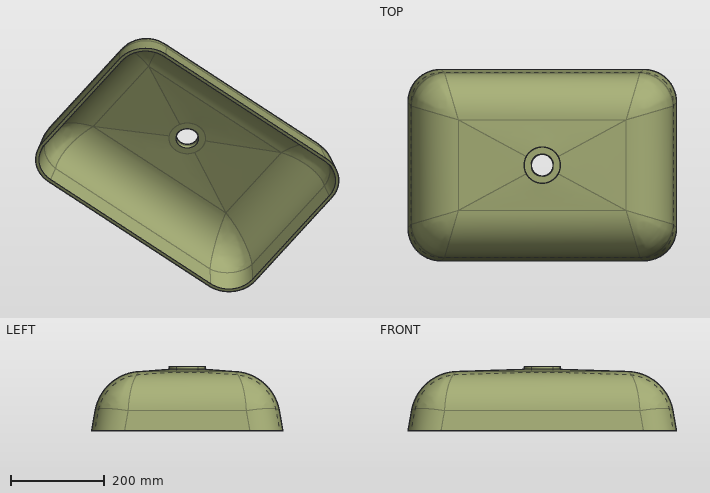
import cadquery as cq
import math

RIM_LENGTH = 574.8
RIM_WIDTH = 409.8
TOTAL_HEIGHT = 138.0

DRAFT_ANGLE = 10.0
WALL_THICKNESS = 7.0
FLAT_HEIGHT = 127.5
FLOOR_FILLET = 102.0
CORNER_FILLET = 72.0

RING_TOP_DIAMETER = 77.0
RING_HEIGHT = 6.0
RING_DRAFT = 5.0

DRAIN_DIAMETER = 46.0
DRAIN_FLARE = 10.0

DRAFT = math.radians(DRAFT_ANGLE)
RING_BASE_HEIGHT = TOTAL_HEIGHT - RING_HEIGHT
RING_BASE_RADIUS = RING_TOP_DIAMETER / 2 + RING_HEIGHT * math.tan(math.radians(RING_DRAFT))

FLAT_MARGIN = FLAT_HEIGHT * math.tan(DRAFT) + FLOOR_FILLET * math.tan((math.pi / 2 - DRAFT) / 2)
FLAT_HALF_LENGTH = RIM_LENGTH / 2 - FLAT_MARGIN
FLAT_HALF_WIDTH = RIM_WIDTH / 2 - FLAT_MARGIN


def rounding_core():
    """Sharp-cornered block lying one corner radius inside the outer skin.

    It reaches below the rim so that its rounded-off bottom can be trimmed away.
    """
    depth_below_rim = 2 * CORNER_FILLET
    growth = depth_below_rim * math.tan(DRAFT) - CORNER_FILLET / math.cos(DRAFT)
    return (
        cq.Workplane("XY", origin=(0, 0, -depth_below_rim))
        .rect(RIM_LENGTH + 2 * growth, RIM_WIDTH + 2 * growth)
        .extrude(depth_below_rim + FLAT_HEIGHT - CORNER_FILLET, taper=DRAFT_ANGLE)
        .faces(">Z")
        .edges()
        .fillet(FLOOR_FILLET - CORNER_FILLET)
    )


def rounded_block(inset):
    """Drafted block with a flat top, its surfaces lying inset below the outer skin.

    Growing the core outward rounds the corners, which fade out at the corners of the flat.
    """
    core = rounding_core()
    grown = core.union(core.shell(CORNER_FILLET - inset))
    above_rim = cq.Workplane("XY").rect(RIM_LENGTH, RIM_WIDTH).extrude(TOTAL_HEIGHT)
    return grown.intersect(above_rim)


def floor_slope(inset):
    """Four ruled facets rising from the rectangular flat to the ring base circle, lowered by inset."""
    base_height = FLAT_HEIGHT - inset
    crown_height = RING_BASE_HEIGHT - inset
    corners = [
        cq.Vector(FLAT_HALF_LENGTH, -FLAT_HALF_WIDTH, base_height),
        cq.Vector(FLAT_HALF_LENGTH, FLAT_HALF_WIDTH, base_height),
        cq.Vector(-FLAT_HALF_LENGTH, FLAT_HALF_WIDTH, base_height),
        cq.Vector(-FLAT_HALF_LENGTH, -FLAT_HALF_WIDTH, base_height),
    ]
    directions = [math.atan2(corner.y, corner.x) for corner in corners]

    def crown_point(direction):
        return cq.Vector(
            RING_BASE_RADIUS * math.cos(direction),
            RING_BASE_RADIUS * math.sin(direction),
            crown_height,
        )

    sides = []
    arcs = []
    for index, corner in enumerate(corners):
        following = (index + 1) % len(corners)
        start = directions[index]
        sweep = (directions[following] - start) % (2 * math.pi)
        sides.append(cq.Edge.makeLine(corner, corners[following]))
        arcs.append(
            cq.Edge.makeThreePointArc(
                crown_point(start), crown_point(start + sweep / 2), crown_point(start + sweep)
            )
        )
    faces = [cq.Face.makeRuledSurface(side, arc) for side, arc in zip(sides, arcs)]
    faces.append(cq.Face.makeFromWires(cq.Wire.assembleEdges(sides)))
    faces.append(cq.Face.makeFromWires(cq.Wire.assembleEdges(arcs)))
    return cq.Workplane(cq.Solid.makeSolid(cq.Shell.makeShell(faces)))


def basin_body(inset):
    """Solid bounded by the basin surface lying inset below the outer skin."""
    return rounded_block(inset).union(floor_slope(inset))


def hollow_basin():
    """Basin shell of even wall thickness, open at the rim."""
    return basin_body(0).cut(basin_body(WALL_THICKNESS))


def ring_base_plane():
    """Workplane at the foot of the drain ring."""
    return cq.Workplane("XY", origin=(0, 0, RING_BASE_HEIGHT))


def drain_ring():
    """Raised disc for the drain ring, before the hole is cut."""
    return ring_base_plane().circle(RING_BASE_RADIUS).extrude(RING_HEIGHT, taper=RING_DRAFT)


def drain_hole():
    """Cutter that is straight inside the ring and flares downward through the floor."""
    straight = ring_base_plane().circle(DRAIN_DIAMETER / 2).extrude(RING_HEIGHT)
    flare = ring_base_plane().circle(DRAIN_DIAMETER / 2).extrude(-WALL_THICKNESS, taper=-DRAIN_FLARE)
    return straight.union(flare)


result = hollow_basin().union(drain_ring()).cut(drain_hole())